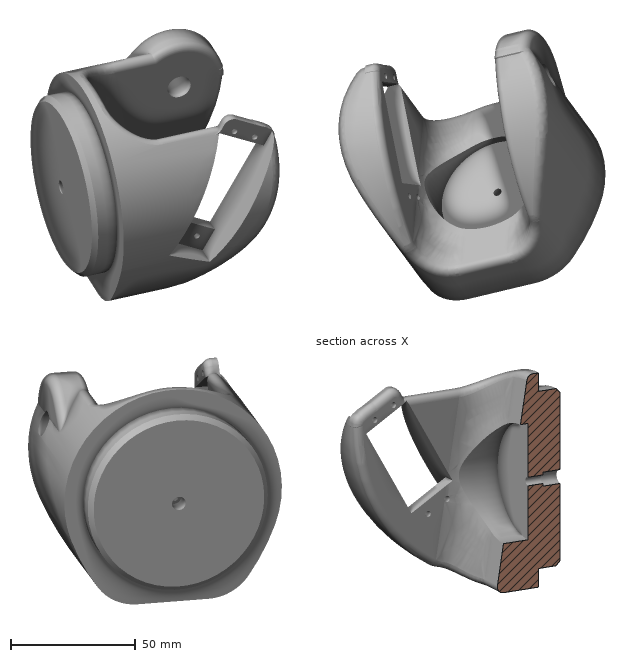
import cadquery as cq
import math

BODY_RADIUS = 45.0
BODY_LENGTH = 70.1
FLANK_START_Z = -15.65
FLANK_RADIUS = 90.0
FOOT_RADIUS = 20.0
SPIGOT_DIAMETER = 74.5
SPIGOT_LENGTH = 10.0
SPIGOT_CHAMFER = 2.0

AXIS_HOLE_DIAMETER = 3.4
AXIS_COUNTERBORE_DIAMETER = 5.7
AXIS_COUNTERBORE_DEPTH = 8.0

SLOT_WIDTH = 50.0
SLOT_CORNER_RADIUS = 15.0
SLOT_FLOOR_TOP_Y = 5.2
SLOT_FLOOR_BOTTOM_Y = 19.8
EDGE_RADIUS = 3.0

POCKET_DIAMETER = 48.6
POCKET_FLOOR_Y = 5.0

ARM_ARC_CENTRE_Y = -3.6
ARM_ARC_CENTRE_Z = 25.1
ARM_ARC_RADIUS = 73.5
ARM_ARC_END_Z = -39.1
TIP_RADIUS = 7.2
ARM_EDGE_RADIUS = 4.0

PIVOT_Y = 50.0
PIVOT_Z = 17.45
PIVOT_HOLE_DIAMETER = 10.0
LUG_ROOT_Z = 4.5

EAR_RADIUS = 20.0
EAR_FACE_X = -40.0
EAR_EDGE_RADIUS = 4.0
EAR_SEAM_Z = 21.6
EAR_SIDE_ANGLE = 45.0

SEAT_TILT = 30.0
SEAT_WIDTH = 21.95
SEAT_TOP = 20.0
SEAT_BOTTOM = -40.5
SEAT_FLOOR_X = 30.6
WINDOW_TOP = 12.0
WINDOW_BOTTOM = -30.0
SCREW_HOLE_DIAMETER = 2.5
SCREW_SPACING = 10.0
SCREW_UPPER = 14.5
SCREW_LOWER = -35.0
LIP_CORNER_RADIUS = 4.0
LIP_SHOULDER_Z = 32.9

SLOT_HALF = SLOT_WIDTH / 2
SEAT_HALF = SEAT_WIDTH / 2
MARGIN = 0.9
TOLERANCE = 0.0045


def housing_outline():
    """Closed XZ outline: round top, two flanks, rounded feet and a flat underside."""
    start_x = math.sqrt(BODY_RADIUS**2 - FLANK_START_Z**2)
    spread = (FLANK_RADIUS - BODY_RADIUS) / BODY_RADIUS
    flank_centre_x = -spread * start_x
    flank_centre_z = -spread * FLANK_START_Z
    foot_centre_z = FOOT_RADIUS - BODY_RADIUS
    gap = FLANK_RADIUS - FOOT_RADIUS
    foot_x = flank_centre_x + math.sqrt(gap**2 - (foot_centre_z - flank_centre_z) ** 2)
    reach = FLANK_RADIUS / gap
    flank_end_x = flank_centre_x + reach * (foot_x - flank_centre_x)
    flank_end_z = flank_centre_z + reach * (foot_centre_z - flank_centre_z)
    return (
        cq.Workplane("XZ")
        .moveTo(-start_x, FLANK_START_Z)
        .threePointArc((0, BODY_RADIUS), (start_x, FLANK_START_Z))
        .tangentArcPoint((flank_end_x, flank_end_z), relative=False)
        .tangentArcPoint((foot_x, -BODY_RADIUS), relative=False)
        .lineTo(-foot_x, -BODY_RADIUS)
        .tangentArcPoint((-flank_end_x, flank_end_z), relative=False)
        .tangentArcPoint((-start_x, FLANK_START_Z), relative=False)
        .close()
    )


def arm_limit():
    """Side shape of both arms: a large arc below, a rounded tip and a sloping upper end."""
    foot_drop = ARM_ARC_CENTRE_Z - ARM_ARC_END_Z
    foot_reach = math.sqrt(ARM_ARC_RADIUS**2 - foot_drop**2)
    foot_y = ARM_ARC_CENTRE_Y + foot_reach
    run_out = (ARM_ARC_END_Z + BODY_RADIUS) * foot_drop / foot_reach
    tip_y = ARM_ARC_CENTRE_Y + ARM_ARC_RADIUS - TIP_RADIUS
    tilt = math.radians(SEAT_TILT)
    slope_y = tip_y + TIP_RADIUS * math.sin(tilt)
    slope_z = ARM_ARC_CENTRE_Z + TIP_RADIUS * math.cos(tilt)
    side = (
        cq.Workplane("YZ", origin=(-BODY_RADIUS, 0, 0))
        .moveTo(0, -BODY_RADIUS)
        .lineTo(foot_y - run_out, -BODY_RADIUS)
        .lineTo(foot_y, ARM_ARC_END_Z)
        .tangentArcPoint((tip_y + TIP_RADIUS, ARM_ARC_CENTRE_Z), relative=False)
        .tangentArcPoint((slope_y, slope_z), relative=False)
        .lineTo(0, slope_z + slope_y * math.tan(tilt))
        .close()
    )
    return side.extrude(2 * BODY_RADIUS)


def slot():
    corner = SLOT_CORNER_RADIUS
    floor = SLOT_FLOOR_TOP_Y
    outline = (
        cq.Workplane("XY", origin=(0, 0, BODY_RADIUS))
        .moveTo(-SLOT_HALF, 2 * BODY_LENGTH)
        .lineTo(-SLOT_HALF, floor + corner)
        .tangentArcPoint((corner, -corner))
        .lineTo(SLOT_HALF - corner, floor)
        .tangentArcPoint((corner, corner))
        .lineTo(SLOT_HALF, 2 * BODY_LENGTH)
        .close()
    )
    slope = cq.Vector(0, SLOT_FLOOR_BOTTOM_Y - SLOT_FLOOR_TOP_Y, -2 * BODY_RADIUS)
    return cq.Workplane(cq.Solid.extrudeLinear(outline.wire().val(), [], slope))


def round_arm_ends(body):
    """Round the outer edges at the ends of the arms."""
    edges = [
        edge
        for edge in body.edges().vals()
        if edge.geomType() != "LINE"
        and edge.Center().y > SLOT_FLOOR_BOTTOM_Y
        and ARM_ARC_END_Z < edge.Center().z < ARM_ARC_CENTRE_Z
    ]
    return body.newObject(edges).fillet(ARM_EDGE_RADIUS)


def round_slot_rim(body):
    """Round the edges where the slot walls and floor meet the outside of the body."""
    walls = [
        face
        for face in body.faces().vals()
        if face.geomType() != "CYLINDER"
        and abs(face.Center().x) < SLOT_HALF + TOLERANCE
        and face.Center().y > MARGIN
        and face.Center().z > ARM_ARC_END_Z
    ]
    shared = {}
    for wall in walls:
        for edge in wall.Edges():
            shared.setdefault(edge.hashCode(), []).append(edge)
    rim = [edges[0] for edges in shared.values() if len(edges) == 1]
    return body.newObject([e for e in rim if e.Center().z > ARM_ARC_END_Z / 2]).fillet(EDGE_RADIUS)


def left_ear():
    """Round lug with one straight side, standing proud of the -X arm."""
    angle = math.radians(EAR_SIDE_ANGLE)
    tangent_y = PIVOT_Y - EAR_RADIUS * math.sin(angle)
    tangent_z = PIVOT_Z + EAR_RADIUS * math.cos(angle)
    side_y = tangent_y - (tangent_z - LUG_ROOT_Z) / math.tan(angle)
    lug = (
        cq.Workplane("YZ", origin=(EAR_FACE_X, 0, 0))
        .moveTo(side_y, LUG_ROOT_Z)
        .lineTo(tangent_y, tangent_z)
        .threePointArc((PIVOT_Y, PIVOT_Z + EAR_RADIUS), (PIVOT_Y + EAR_RADIUS, PIVOT_Z))
        .lineTo(PIVOT_Y, LUG_ROOT_Z)
        .close()
        .extrude(-SLOT_HALF - EAR_FACE_X)
    )
    lug = lug.faces("<X").edges().fillet(EAR_EDGE_RADIUS)
    return lug.faces(">X").edges(">Z or >Y").fillet(EDGE_RADIUS)


def seat_point(across, along):
    """YZ point of a position in the tilted seat, measured from the pivot."""
    tilt = math.radians(SEAT_TILT)
    return (
        PIVOT_Y + across * math.cos(tilt) + along * math.sin(tilt),
        PIVOT_Z - across * math.sin(tilt) + along * math.cos(tilt),
    )


def seat_box(bottom, top, x_start, x_end):
    corners = [
        seat_point(-SEAT_HALF, bottom),
        seat_point(SEAT_HALF, bottom),
        seat_point(SEAT_HALF, top),
        seat_point(-SEAT_HALF, top),
    ]
    return (
        cq.Workplane("YZ", origin=(x_start, 0, 0)).polyline(corners).close().extrude(x_end - x_start)
    )


def right_lip():
    """Thin plate closing the motor seat towards the slot, with a tilted top."""
    top_y, top_z = seat_point(-SEAT_HALF, SEAT_TOP)
    tilt = math.radians(SEAT_TILT)
    end_z = top_z - (BODY_LENGTH - top_y) * math.tan(tilt)
    shoulder_y = top_y - (top_z - LIP_SHOULDER_Z) * math.tan(tilt)
    plate = (
        cq.Workplane("YZ", origin=(SLOT_HALF, 0, 0))
        .moveTo(shoulder_y - 2 * LIP_CORNER_RADIUS, LIP_SHOULDER_Z)
        .lineTo(shoulder_y, LIP_SHOULDER_Z)
        .lineTo(top_y, top_z)
        .lineTo(BODY_LENGTH, end_z)
        .lineTo(BODY_LENGTH, ARM_ARC_CENTRE_Z)
        .lineTo(PIVOT_Y, LUG_ROOT_Z)
        .close()
        .extrude(SEAT_FLOOR_X - SLOT_HALF)
    )
    corners = cq.selectors.BoxSelector(
        (0, shoulder_y - MARGIN, end_z - MARGIN),
        (BODY_RADIUS, BODY_LENGTH + MARGIN, top_z + MARGIN),
    )
    plate = plate.edges("|X").edges(corners).fillet(LIP_CORNER_RADIUS)
    return plate.faces("<X").edges().fillet(EDGE_RADIUS)


def screw_holes():
    points = [
        seat_point(side * SCREW_SPACING / 2, along)
        for side in (-1, 1)
        for along in (SCREW_UPPER, SCREW_LOWER)
    ]
    return cq.Workplane("YZ").pushPoints(points).circle(SCREW_HOLE_DIAMETER / 2).extrude(BODY_RADIUS)


def axis_cylinder(diameter, start_y, end_y):
    """Cylinder on the Y axis between two Y positions."""
    return cq.Workplane("XZ", origin=(0, start_y, 0)).circle(diameter / 2).extrude(start_y - end_y)


def pivot_hole():
    hole = cq.Workplane("YZ").center(PIVOT_Y, PIVOT_Z).circle(PIVOT_HOLE_DIAMETER / 2)
    return hole.extrude(-BODY_RADIUS)


def ear_room():
    """Space above the tip of the -X arm that is handed over to the ear."""
    return cq.Workplane("XY").box(BODY_RADIUS, BODY_LENGTH, BODY_RADIUS, centered=False).translate(
        (-BODY_RADIUS, PIVOT_Y, EAR_SEAM_Z)
    )


body = housing_outline().extrude(-BODY_LENGTH).intersect(arm_limit())
body = round_arm_ends(body)
body = round_slot_rim(body.cut(slot()))
body = body.cut(axis_cylinder(POCKET_DIAMETER, POCKET_FLOOR_Y, BODY_LENGTH))

body = body.cut(ear_room()).union(left_ear()).cut(pivot_hole())

body = body.union(right_lip())
body = body.cut(seat_box(SEAT_BOTTOM, 2 * SEAT_TOP, SEAT_FLOOR_X, 2 * BODY_RADIUS))
body = body.cut(seat_box(WINDOW_BOTTOM, WINDOW_TOP, 0, SEAT_FLOOR_X))
body = body.cut(screw_holes())

spigot = axis_cylinder(SPIGOT_DIAMETER, 0, -SPIGOT_LENGTH).faces("<Y").chamfer(SPIGOT_CHAMFER)
body = body.union(spigot)
body = body.cut(axis_cylinder(AXIS_HOLE_DIAMETER, -SPIGOT_LENGTH, BODY_LENGTH))
counterbore_end = AXIS_COUNTERBORE_DEPTH - SPIGOT_LENGTH
result = body.cut(axis_cylinder(AXIS_COUNTERBORE_DIAMETER, -SPIGOT_LENGTH, counterbore_end))